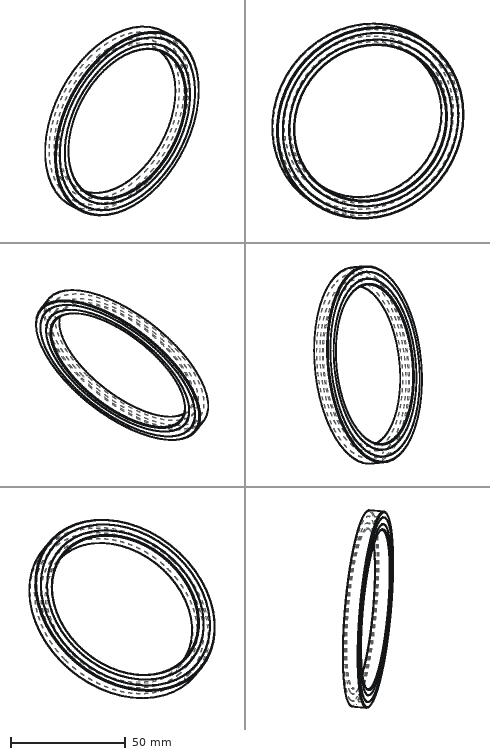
import cadquery as cq

outer_diameter = 86.5
bore_diameter = 70.0
width = 7.0

inner_ring_diameter = 75.0
outer_ring_bore = 81.5
radial_gap = 0.25
seal_bore = inner_ring_diameter + 2 * radial_gap
seal_diameter = outer_ring_bore - 2 * radial_gap

chamfer_radial = 0.5
chamfer_axial = 0.35

half_width = width / 2
shoulder = half_width - chamfer_axial


def revolve_about_x(points):
    """Solid of revolution about X from (x, radius) points."""
    return cq.Workplane("XY").polyline(points).close().revolve(360, (0, 0, 0), (1, 0, 0))


def build_inner_ring():
    """Inner ring with both bore edges chamfered."""
    bore_radius = bore_diameter / 2
    top_radius = inner_ring_diameter / 2
    face_radius = bore_radius + chamfer_radial
    return revolve_about_x([
        (-half_width, top_radius),
        (half_width, top_radius),
        (half_width, face_radius),
        (shoulder, bore_radius),
        (-shoulder, bore_radius),
        (-half_width, face_radius),
    ])


def build_seal():
    """Plain seal ring, flush with both ring faces."""
    bottom_radius = seal_bore / 2
    top_radius = seal_diameter / 2
    return revolve_about_x([
        (-half_width, bottom_radius),
        (half_width, bottom_radius),
        (half_width, top_radius),
        (-half_width, top_radius),
    ])


def build_outer_ring():
    """Outer ring with both outside edges chamfered."""
    bottom_radius = outer_ring_bore / 2
    outer_radius = outer_diameter / 2
    face_radius = outer_radius - chamfer_radial
    return revolve_about_x([
        (-half_width, bottom_radius),
        (half_width, bottom_radius),
        (half_width, face_radius),
        (shoulder, outer_radius),
        (-shoulder, outer_radius),
        (-half_width, face_radius),
    ])


inner_ring = build_inner_ring()
seal = build_seal()
outer_ring = build_outer_ring()

result = cq.Compound.makeCompound([inner_ring.val(), seal.val(), outer_ring.val()])